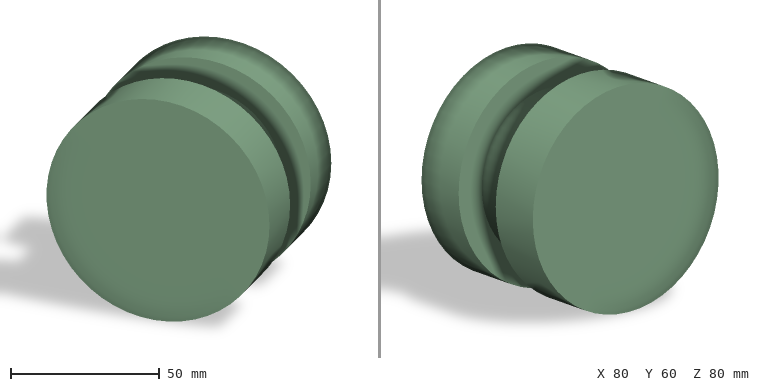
import cadquery as cq

flange_diameter = 80.0
core_diameter = 60.0
section_width = 20.0


def disc(diameter, width, center_y):
    """Solid disc on the Y axis, centred at center_y."""
    start_y = center_y - width / 2
    return cq.Workplane("XZ", origin=(0, start_y, 0)).circle(diameter / 2).extrude(-width)


result = disc(core_diameter, section_width, 0)
for side in (-1, 1):
    result = result.union(disc(flange_diameter, section_width, side * section_width))